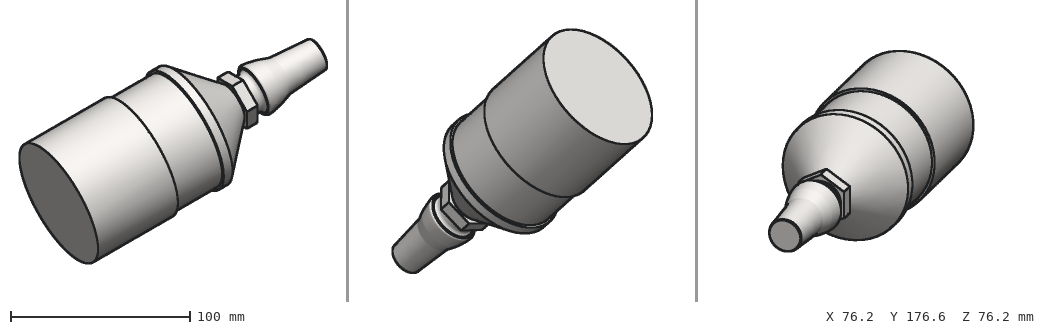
import cadquery as cq
import math


body_radius = 76.2 / 2
waist_radius = 72.9 / 2
neck_radius = 24.21 / 2
rim_radius = 15.75
rim_face_radius = 14.75
shoulder_radius = 14.2
taper_large_radius = 23.37 / 2
taper_small_radius = 9.85

total_length = 176.61
base_length = 54.5
flange_length = 6.0
flange_top = 91.8
flange_bottom = flange_top - flange_length
nut_bottom = 118.4
nut_top = 125.9
rim_bottom = 132.85
rim_top = 134.4
shoulder_station = 143.0
taper_start = 150.4

neck_fillet_radius = 3.0
fillet_rise = 1.6
fillet_length = math.sqrt(neck_fillet_radius**2 - (neck_fillet_radius - fillet_rise) ** 2)
tip_chamfer = 0.5
shoulder_bulge = 0.08

nut_across_flats = 28.4
nut_across_corners = nut_across_flats / math.cos(math.radians(30))
nut_bevel_height = 1.05
nut_bevel_depth = 0.33


def turned_body():
    """Half profile (radius, y) from the tip to the base, revolved about Y."""
    tip_face_radius = taper_small_radius - tip_chamfer
    profile = (
        cq.Workplane("XY")
        .moveTo(0, total_length)
        .lineTo(tip_face_radius, total_length)
        .lineTo(taper_small_radius, total_length - tip_chamfer)
        .lineTo(taper_large_radius, taper_start)
        .sagittaArc((shoulder_radius, shoulder_station), shoulder_bulge)
        .tangentArcPoint((rim_radius, rim_top), relative=False)
        .tangentArcPoint((rim_face_radius, rim_bottom), relative=False)
        .lineTo(neck_radius + fillet_rise, rim_bottom)
        .radiusArc((neck_radius, rim_bottom - fillet_length), -neck_fillet_radius)
        .lineTo(neck_radius, nut_bottom)
        .lineTo(body_radius, flange_top)
        .lineTo(body_radius, flange_bottom)
        .lineTo(waist_radius, flange_bottom)
        .lineTo(waist_radius, base_length)
        .lineTo(body_radius, base_length)
        .lineTo(body_radius, 0)
        .lineTo(0, 0)
        .close()
    )
    return profile.revolve(360, (0, 0, 0), (0, 1, 0))


def hex_nut():
    """Hexagonal nut with its edges bevelled on the nozzle side."""
    return (
        cq.Workplane("XZ", origin=(0, nut_bottom, 0))
        .transformed(rotate=(0, 0, 90))
        .polygon(6, nut_across_corners)
        .extrude(nut_bottom - nut_top)
        .faces(">Y")
        .chamfer(nut_bevel_height, nut_bevel_depth)
    )


result = turned_body().union(hex_nut())